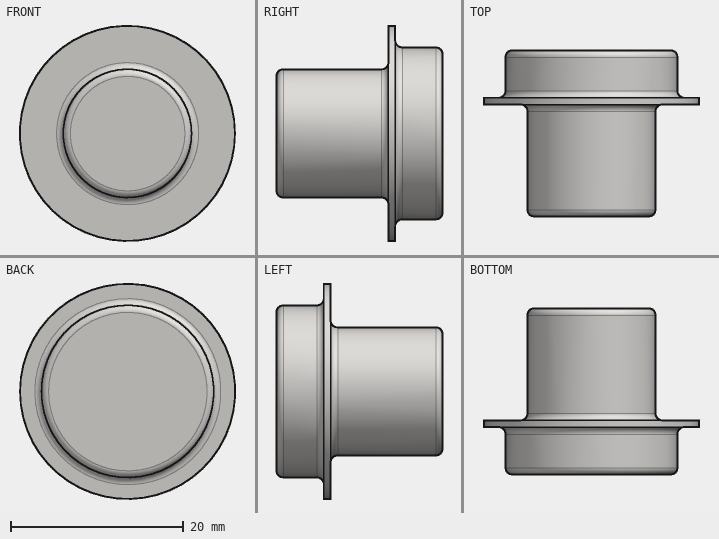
import cadquery as cq

flange_diameter = 25.0
flange_thickness = 0.8
stem_diameter = 14.9
stem_length = 13.0
head_diameter = 20.0
head_length = 5.5
edge_radius = 0.8


def cylinder_along_y(diameter, start_y, length):
    """Solid cylinder running from start_y towards +Y."""
    plane = cq.Workplane("XZ", origin=(0, start_y, 0))
    return plane.circle(diameter / 2).extrude(-length)


flange = cylinder_along_y(flange_diameter, 0, flange_thickness)

stem = cylinder_along_y(stem_diameter, -stem_length, stem_length)
stem = stem.faces("<Y").edges().fillet(edge_radius)

head = cylinder_along_y(head_diameter, flange_thickness, head_length)
head = head.faces(">Y").edges().fillet(edge_radius)

body = flange.union(stem).union(head)

inner_edge = cq.selectors.RadiusNthSelector(0)
for face_y in (0, flange_thickness):
    flange_face = cq.selectors.BoxSelector(
        (-flange_diameter, face_y - flange_thickness / 4, -flange_diameter),
        (flange_diameter, face_y + flange_thickness / 4, flange_diameter),
    )
    body = body.faces(flange_face).edges(inner_edge).fillet(edge_radius)

result = body